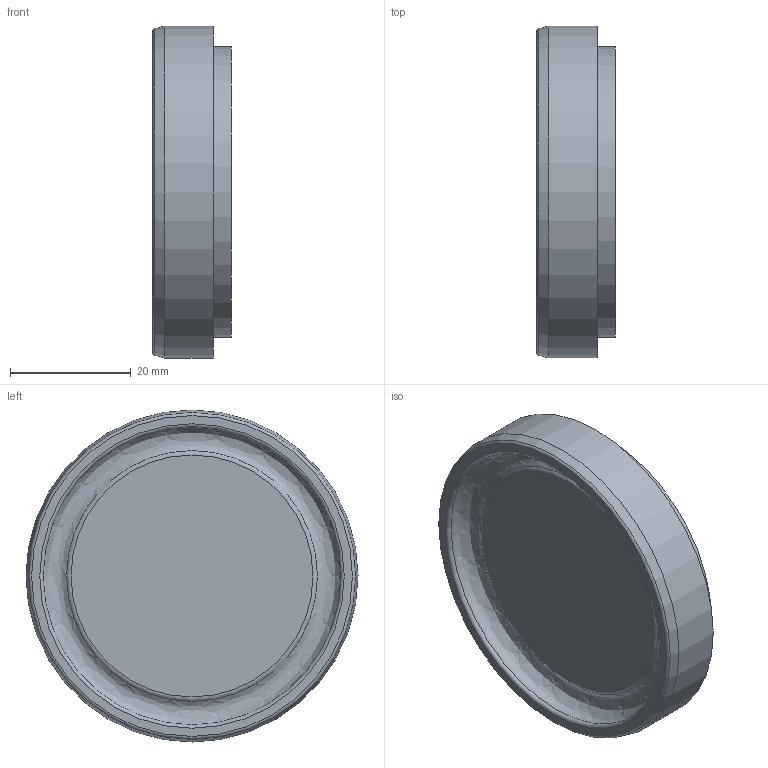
import cadquery as cq
import math

rim_radius = 54.9 / 2
rim_thickness = 10.0
spigot_radius = 48.0 / 2
spigot_length = 3.0

taper_length = 2.0
taper_angle = 15.0
edge_fillet = 0.5

floor_radius = 20.0
floor_depth = 3.5
floor_fillet = 1.0
floor_edge_angle = 47.0
groove_depth = 4.5
groove_bottom_radius = 22.9
lip_radius = 25.17
lip_fillet = 0.55
lip_angle = 120.0

total_length = rim_thickness + spigot_length
taper_radius = rim_radius - taper_length * math.tan(math.radians(taper_angle))


def revolve_about_x(profile):
    """Turn an (axial, radial) half profile about the X axis."""
    return profile.close().revolve(360, (0, 0, 0), (1, 0, 0))


def make_body():
    """Rim disc with a tapered, rounded front edge and a rear spigot."""
    profile = (
        cq.Workplane("XY")
        .lineTo(0, taper_radius)
        .lineTo(taper_length, rim_radius)
        .lineTo(rim_thickness, rim_radius)
        .lineTo(rim_thickness, spigot_radius)
        .lineTo(total_length, spigot_radius)
        .lineTo(total_length, 0)
    )
    return revolve_about_x(profile).faces("<X").edges().fillet(edge_fillet)


def point_on_floor_edge(angle):
    """Point on the floor's rounded edge where the surface has turned by angle degrees."""
    turn = math.radians(angle)
    return (
        floor_depth + floor_fillet * (1 - math.cos(turn)),
        floor_radius + floor_fillet * math.sin(turn),
    )


def point_on_lip(angle):
    """Point on the rounded lip where the surface has turned by angle degrees."""
    turn = math.radians(angle)
    return (
        lip_fillet * (1 - math.cos(turn)),
        lip_radius - lip_fillet * math.sin(turn),
    )


def make_dish():
    """Material removed from the front: floor recess, ring groove and rounded lip."""
    floor_turn = math.radians(floor_edge_angle)
    lip_turn = math.radians(lip_angle)
    groove_start = point_on_floor_edge(floor_edge_angle)
    groove_bottom = (groove_depth, groove_bottom_radius)
    groove_end = point_on_lip(lip_angle)
    start_direction = (math.sin(floor_turn), math.cos(floor_turn))
    bottom_direction = (0, 1)
    end_direction = (-math.sin(lip_turn), math.cos(lip_turn))
    profile = (
        cq.Workplane("XY")
        .lineTo(floor_depth, 0)
        .lineTo(floor_depth, floor_radius)
        .threePointArc(point_on_floor_edge(floor_edge_angle / 2), groove_start)
        .spline(
            [groove_bottom, groove_end],
            tangents=[start_direction, bottom_direction, end_direction],
            includeCurrent=True,
        )
        .threePointArc(point_on_lip(lip_angle / 2), (0, lip_radius))
    )
    return revolve_about_x(profile)


result = make_body().cut(make_dish())